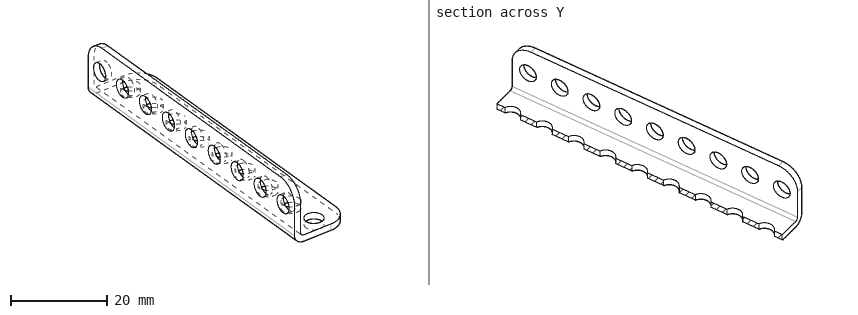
import cadquery as cq

length = 72.0
leg = 14.3
thickness = 1.6
inner_bend_radius = 0.7
corner_radius = 4.8
hole_diameter = 4.2
hole_count = 9
hole_pitch = 8.0
hole_offset = 8.0

outer_bend_radius = inner_bend_radius + thickness


def bent_sheet():
    """L-shaped profile with a rounded bend, extruded along X and centred on X = 0."""
    profile = (
        cq.Workplane("YZ")
        .polyline([
            (0, 0),
            (leg, 0),
            (leg, thickness),
            (thickness, thickness),
            (thickness, leg),
            (0, leg),
        ])
        .close()
    )
    sheet = profile.extrude(length / 2, both=True)
    inner_bend_edge = cq.selectors.NearestToPointSelector((0, thickness, thickness))
    outer_bend_edge = cq.selectors.NearestToPointSelector((0, 0, 0))
    sheet = sheet.edges("|X").edges(inner_bend_edge).fillet(inner_bend_radius)
    return sheet.edges("|X").edges(outer_bend_edge).fillet(outer_bend_radius)


def round_free_corners(body):
    """Round the two end corners of each leg, away from the bend."""
    body = body.faces(">Z").edges("|Y").fillet(corner_radius)
    return body.faces(">Y").edges("|Z").fillet(corner_radius)


def hole_row_cutters():
    """Evenly spaced cylinders that pierce the upright leg and the flat leg."""
    first_x = -hole_pitch * (hole_count - 1) / 2
    centres = [(first_x + i * hole_pitch, hole_offset) for i in range(hole_count)]
    upright = cq.Workplane("XZ").pushPoints(centres).circle(hole_diameter / 2).extrude(-thickness)
    flat = cq.Workplane("XY").pushPoints(centres).circle(hole_diameter / 2).extrude(thickness)
    return upright, flat


result = round_free_corners(bent_sheet())
for cutter in hole_row_cutters():
    result = result.cut(cutter)